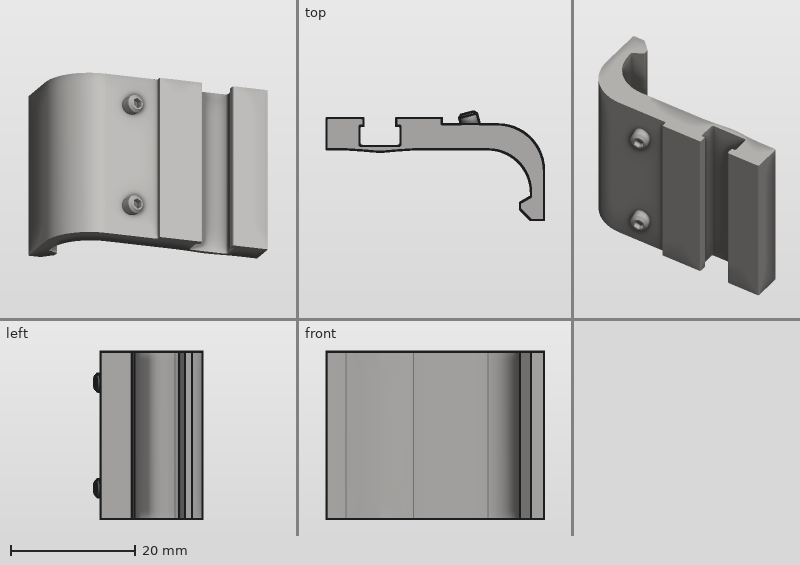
import cadquery as cq
import math

length = 35.1
height = 27.0

pad_top = 16.5
arm_top = 15.48
arm_bottom = 11.4
pad_end = 18.6
outer_radius = 7.5
inner_radius = 6.9
hook_thickness = 2.15
hook_inner = length - hook_thickness

catch_depth = 1.75
catch_flat_bottom = catch_depth
catch_flat_top = 2.8
catch_top = catch_flat_top + catch_depth * math.tan(math.radians(30))

slot_center = 8.65
slot_width = 6.55
slot_mouth = 5.23
slot_floor = 12.0
lip_bottom = 15.2
bulge_half_width = 5.45
bulge_depth = 0.4

edge_radius = 0.2
slot_radius = 0.3
lip_radius = 0.3
lip_root_radius = 0.18

screw_diameter = 3.0
screw_tilt = 15.0
screw_x = 23.2
screw_end_offset = 5.0
screw_projection = 1.85
screw_embedding = 1.4
screw_chamfer = 0.45
socket_across_flats = 1.5
socket_depth = 1.05


def make_bracket():
    """Extruded arm with a curved hook and a bulged underside."""
    outer_center_x = length - outer_radius
    outer_center_y = arm_top - outer_radius
    inner_center_x = hook_inner - inner_radius
    inner_center_y = arm_bottom - inner_radius
    diagonal = math.sqrt(0.5)

    bulge_points = [
        (slot_center, arm_bottom - bulge_depth),
        (slot_center - bulge_half_width, arm_bottom),
    ]

    profile = (
        cq.Workplane("XY")
        .moveTo(0, arm_bottom)
        .lineTo(0, pad_top)
        .lineTo(pad_end, pad_top)
        .lineTo(pad_end, arm_top)
        .lineTo(outer_center_x, arm_top)
        .threePointArc(
            (outer_center_x + outer_radius * diagonal, outer_center_y + outer_radius * diagonal),
            (length, outer_center_y),
        )
        .lineTo(length, 0)
        .lineTo(hook_inner, 0)
        .lineTo(hook_inner - catch_depth, catch_flat_bottom)
        .lineTo(hook_inner - catch_depth, catch_flat_top)
        .lineTo(hook_inner, catch_top)
        .lineTo(hook_inner, inner_center_y)
        .threePointArc(
            (inner_center_x + inner_radius * diagonal, inner_center_y + inner_radius * diagonal),
            (inner_center_x, arm_bottom),
        )
        .lineTo(slot_center + bulge_half_width, arm_bottom)
        .spline(bulge_points, tangents=[(-1, 0), (-1, 0)], includeCurrent=True)
        .close()
    )
    return profile.extrude(height)


def cut_t_slot(body):
    """Cut the T-slot through the full height."""
    cavity = (
        cq.Workplane("XY")
        .center(slot_center, (slot_floor + lip_bottom) / 2)
        .rect(slot_width, lip_bottom - slot_floor)
        .extrude(height)
    )
    mouth = (
        cq.Workplane("XY")
        .center(slot_center, (slot_floor + pad_top) / 2)
        .rect(slot_mouth, pad_top - slot_floor)
        .extrude(height)
    )
    return body.cut(cavity).cut(mouth)


def round_corner(body, x, y, radius):
    """Fillet the extruded edge nearest to the profile corner (x, y)."""
    corner = cq.selectors.NearestToPointSelector((x, y, height / 2))
    return body.edges("|Z").edges(corner).fillet(radius)


def round_corners(body):
    """Round the pad, step and T-slot corners."""
    mouth_left = slot_center - slot_mouth / 2
    mouth_right = slot_center + slot_mouth / 2
    body = round_corner(body, 0, arm_bottom, edge_radius)
    body = round_corner(body, 0, pad_top, edge_radius)
    body = round_corner(body, pad_end, arm_top, edge_radius)
    body = round_corner(body, mouth_left, pad_top, lip_radius)
    body = round_corner(body, mouth_right, pad_top, edge_radius)
    for side in (-1, 1):
        wall_x = slot_center + side * slot_width / 2
        body = round_corner(body, wall_x, slot_floor, slot_radius)
        body = round_corner(body, wall_x, lip_bottom, lip_root_radius)
    return body


def make_screw(z):
    """Chamfered set screw with a hexagon socket, leaning toward -X."""
    tilt = math.radians(screw_tilt)
    axis = cq.Vector(-math.sin(tilt), math.cos(tilt), 0)
    across = cq.Vector(math.cos(tilt), math.sin(tilt), 0)
    plane = cq.Plane(origin=(screw_x, arm_top, z), xDir=across.toTuple(), normal=axis.toTuple())
    screw = (
        cq.Workplane(plane)
        .workplane(offset=-screw_embedding)
        .circle(screw_diameter / 2)
        .extrude(screw_embedding + screw_projection)
    )
    tip_edge = cq.selectors.DirectionMinMaxSelector(axis, directionMax=True)
    screw = screw.edges("%CIRCLE").edges(tip_edge).chamfer(screw_chamfer)
    socket = (
        cq.Workplane(plane)
        .workplane(offset=screw_projection)
        .polygon(6, socket_across_flats, circumscribed=True)
        .extrude(-socket_depth)
    )
    return screw, socket


result = round_corners(cut_t_slot(make_bracket()))
for screw_z in (screw_end_offset, height - screw_end_offset):
    screw_body, screw_socket = make_screw(screw_z)
    result = result.union(screw_body).cut(screw_socket)